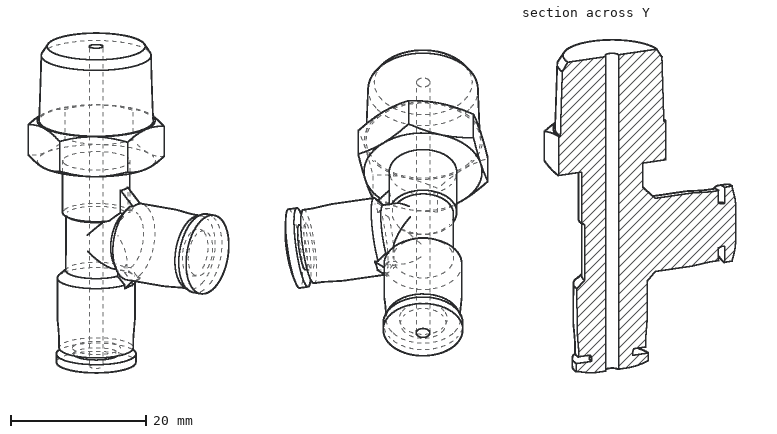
import cadquery as cq
import math

port_reach = 20.15
stem_top = 29.05
bore_diameter = 2.0

thread_length = 11.4
thread_chamfer_height = 1.4
thread_tip_diameter = 14.5
thread_small_diameter = 16.3
thread_large_diameter = 16.92
hex_height = 6.15
hex_corner_diameter = 20.15
hex_chamfer_angle = 30.0

collar_diameter = 10.0
collar_bottom = 3.5
collar_edge_chamfer = 0.3

root_diameter = 9.0
body_diameter = 11.5
body_end_diameter = 11.0
shoulder_start = 5.4
shoulder_length = 1.2
taper_start = 12.95
taper_end = 15.95
body_end = 17.3
neck_diameter = 6.75
neck_base_diameter = 7.1
neck_cone_end = 17.85
button_diameter = 11.8
button_start = 18.25
button_rim_end = 19.55
button_face_diameter = 5.4
button_dome_rise = 0.45

web_thickness = 1.95
web_corner = 7.05

hex_top = stem_top - thread_length
hex_bottom = hex_top - hex_height
hex_flat_diameter = hex_corner_diameter * math.cos(math.pi / 6)


def make_port():
    """Port pointing along +Z from the crossing, ending in a domed release button."""
    dome_middle_radius = (button_diameter + button_face_diameter) / 4
    profile = (
        cq.Workplane("XZ")
        .moveTo(0, 0)
        .lineTo(root_diameter / 2, 0)
        .lineTo(root_diameter / 2, shoulder_start)
        .lineTo(body_diameter / 2, shoulder_start + shoulder_length)
        .lineTo(body_diameter / 2, taper_start)
        .lineTo(body_end_diameter / 2, taper_end)
        .lineTo(body_end_diameter / 2, body_end)
        .lineTo(neck_base_diameter / 2, body_end)
        .lineTo(neck_diameter / 2, neck_cone_end)
        .lineTo(neck_diameter / 2, button_start)
        .lineTo(button_diameter / 2, button_start)
        .lineTo(button_diameter / 2, button_rim_end)
        .threePointArc(
            (dome_middle_radius, button_rim_end + button_dome_rise),
            (button_face_diameter / 2, port_reach),
        )
        .lineTo(0, port_reach)
        .close()
    )
    return profile.revolve(360, (0, 0, 0), (0, 1, 0))


def make_stem():
    """Collar and tapered thread above the crossing."""
    profile = (
        cq.Workplane("XZ")
        .moveTo(0, 0)
        .lineTo(root_diameter / 2, 0)
        .lineTo(root_diameter / 2, collar_bottom - collar_edge_chamfer)
        .lineTo(collar_diameter / 2, collar_bottom)
        .lineTo(collar_diameter / 2, hex_top)
        .lineTo(thread_large_diameter / 2, hex_top)
        .lineTo(thread_small_diameter / 2, stem_top - thread_chamfer_height)
        .lineTo(thread_tip_diameter / 2, stem_top)
        .lineTo(0, stem_top)
        .close()
    )
    return profile.revolve(360, (0, 0, 0), (0, 1, 0))


def make_hexagon():
    """Hexagon with corners on the Y axis, its corners chamfered at both ends."""
    prism = (
        cq.Workplane("XY", origin=(0, 0, hex_bottom))
        .transformed(rotate=(0, 0, 90))
        .polygon(6, hex_corner_diameter)
        .extrude(hex_height)
    )
    corner_radius = hex_corner_diameter / 2
    flat_radius = hex_flat_diameter / 2
    corner_drop = (corner_radius - flat_radius) * math.tan(math.radians(hex_chamfer_angle))
    envelope = (
        cq.Workplane("XZ")
        .moveTo(0, hex_bottom)
        .lineTo(flat_radius, hex_bottom)
        .lineTo(corner_radius, hex_bottom + corner_drop)
        .lineTo(corner_radius, hex_top - corner_drop)
        .lineTo(flat_radius, hex_top)
        .lineTo(0, hex_top)
        .close()
        .revolve(360, (0, 0, 0), (0, 1, 0))
    )
    return prism.intersect(envelope)


def make_webs():
    """Plate with 45 degree edges filling both corners between branch and run."""
    edge_reach = web_corner + body_diameter / 2
    return (
        cq.Workplane("XZ")
        .polyline([(0, edge_reach), (edge_reach, 0), (0, -edge_reach)])
        .close()
        .extrude(web_thickness / 2, both=True)
    )


lower_port = make_port().rotate((0, 0, 0), (1, 0, 0), 180)
side_port = make_port().rotate((0, 0, 0), (0, 1, 0), 90)
bore = (
    cq.Workplane("XY", origin=(0, 0, -port_reach))
    .circle(bore_diameter / 2)
    .extrude(port_reach + stem_top)
)

result = (
    make_stem()
    .union(make_hexagon())
    .union(lower_port)
    .union(side_port)
    .union(make_webs())
    .cut(bore)
)